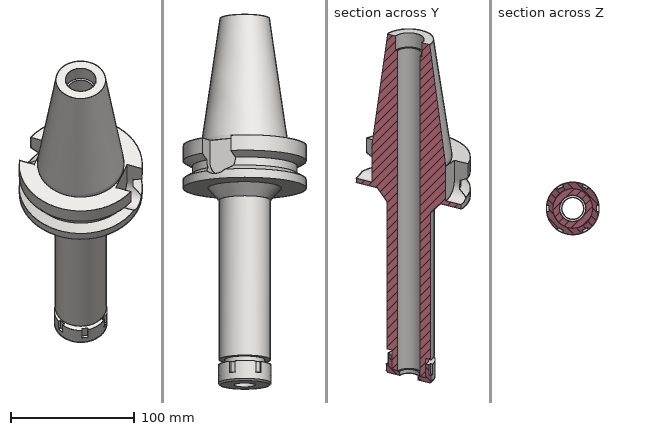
import cadquery as cq
import math

total_height = 301.8
taper_length = 101.7
gauge_band_height = 3.0
flange_height = 35.0
flange_top = total_height - taper_length - gauge_band_height
flange_bottom = flange_top - flange_height

gauge_radius = 35.0
taper_ratio = 7 / 24
taper_top_radius = gauge_radius - taper_length * taper_ratio / 2

flange_diameter = 100.0
flange_radius = flange_diameter / 2
groove_radius = 42.5
upper_rim_height = 12.7
groove_floor_height = 6.5
groove_wall_height = (flange_radius - groove_radius) * math.tan(math.radians(30))
groove_floor_top = flange_top - upper_rim_height - groove_wall_height
groove_floor_bottom = groove_floor_top - groove_floor_height

drive_slot_width = 26.3
drive_slot_depth = 30.8
drive_slot_floor_x = 35.3

collar_radius = 30.0
collar_height = 10.0
shank_radius = 20.8
shank_bottom = 20.8
neck_radius = 16.3

mouth_bore_radius = 12.5
mouth_bore_depth = 12.7
inner_bore_radius = 10.5

nut_radius = 21.5
nut_height = 16.3
nut_chamfer_height = 1.5
nut_face_radius = 20.0
nut_hole_radius = 8.8
nut_lip_height = 3.5
nut_slot_count = 6
nut_slot_width = 4.8
nut_slot_length = 9.0
nut_slot_floor_radius = 19.3


def revolve_profile(points):
    """Solid of revolution about Z from (radius, height) points."""
    return (
        cq.Workplane("XZ")
        .polyline(points)
        .close()
        .revolve(360, (0, 0, 0), (0, 1, 0))
    )


def make_drive_slot(side):
    """Round-bottomed cutter running outward along X; side is +1 or -1."""
    end_radius = drive_slot_width / 2
    arc_center_z = flange_top - drive_slot_depth + end_radius
    cutter = (
        cq.Workplane("YZ", origin=(side * drive_slot_floor_x, 0, 0))
        .moveTo(-end_radius, flange_top)
        .lineTo(-end_radius, arc_center_z)
        .threePointArc((0, arc_center_z - end_radius), (end_radius, arc_center_z))
        .lineTo(end_radius, flange_top)
        .close()
        .extrude(side * flange_radius)
    )
    return cutter


def make_holder():
    """Taper, flange, shank and neck with a stepped bore through them."""
    mouth_bore_bottom = total_height - mouth_bore_depth
    body = revolve_profile([
        (mouth_bore_radius, total_height),
        (taper_top_radius, total_height),
        (gauge_radius, total_height - taper_length),
        (gauge_radius, flange_top),
        (flange_radius, flange_top),
        (flange_radius, flange_top - upper_rim_height),
        (groove_radius, groove_floor_top),
        (groove_radius, groove_floor_bottom),
        (flange_radius, groove_floor_bottom - groove_wall_height),
        (flange_radius, flange_bottom),
        (collar_radius, flange_bottom),
        (shank_radius, flange_bottom - collar_height),
        (shank_radius, shank_bottom),
        (neck_radius, shank_bottom),
        (neck_radius, nut_lip_height),
        (inner_bore_radius, nut_lip_height),
        (inner_bore_radius, mouth_bore_bottom),
        (mouth_bore_radius, mouth_bore_bottom),
    ])
    for side in (-1, 1):
        body = body.cut(make_drive_slot(side))
    return body


def make_nut():
    """Slotted cap whose bottom lip closes over the end of the neck."""
    body = revolve_profile([
        (nut_hole_radius, 0),
        (nut_face_radius, 0),
        (nut_radius, nut_chamfer_height),
        (nut_radius, nut_height),
        (neck_radius, nut_height),
        (neck_radius, nut_lip_height),
        (nut_hole_radius, nut_lip_height),
    ])
    slot_cutter = cq.Workplane("XY").box(
        nut_radius, nut_slot_width, nut_slot_length, centered=(False, True, False)
    ).translate((nut_slot_floor_radius, 0, nut_height - nut_slot_length))
    for index in range(nut_slot_count):
        angle = index * 360 / nut_slot_count
        body = body.cut(slot_cutter.rotate((0, 0, 0), (0, 0, 1), angle))
    return body


holder = make_holder()
nut = make_nut()

result = cq.Compound.makeCompound([holder.val(), nut.val()])